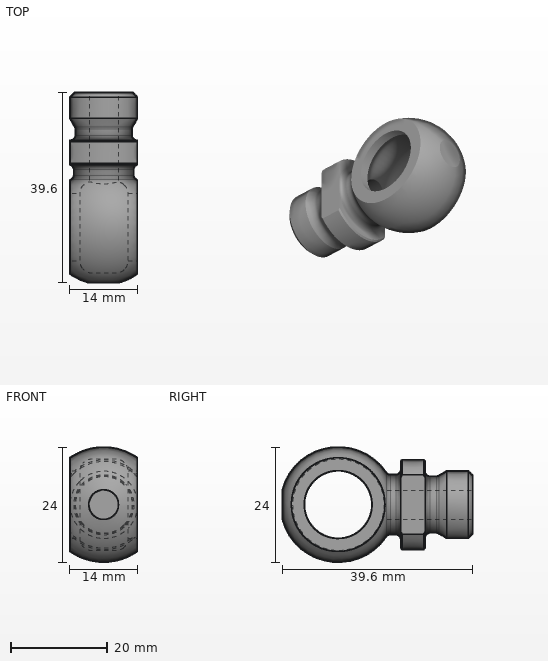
import cadquery as cq
import math

width = 14.0
ball_radius = 12.0
total_length = 39.6
nose_radius = 3.1

stem_radius = width / 2
stem_chamfer = 1.0
stem_straight_start = 22.57
stem_neck_radius = 11.8 / 2
relief_angle = math.radians(30)

collar_radius = 9.35
collar_start = 13.0
collar_end = 18.05
collar_chamfer = 0.3
ball_neck_radius = 12.5 / 2
fillet_radius = 1.0

bore_radius = 14.0 / 2
groove_depth = 2.5
groove_width = 9.98
passage_radius = 6.0 / 2

nose_y = -math.sqrt(ball_radius**2 - nose_radius**2)
stem_end = nose_y + total_length


def arc_point(centre, radius, angle):
    """Point (radius from Y axis, Y) on a circle of the body profile."""
    return (centre[0] + radius * math.cos(angle), centre[1] + radius * math.sin(angle))


def make_body():
    """Revolve the ball, necks, collar and stem about the Y axis."""
    root_r = ball_neck_radius + fillet_radius
    root_y = math.sqrt((ball_radius + fillet_radius) ** 2 - root_r**2)
    root_centre = (root_r, root_y)
    root_angle = math.atan2(-root_y, -root_r) + 2 * math.pi
    root_start = arc_point(root_centre, fillet_radius, root_angle)
    root_middle = arc_point(root_centre, fillet_radius, (root_angle + math.pi) / 2)

    front_centre = (root_r, collar_start - fillet_radius)
    back_centre = (stem_neck_radius + fillet_radius, collar_end + fillet_radius)
    front_middle = arc_point(front_centre, fillet_radius, math.radians(135))
    back_middle = arc_point(back_centre, fillet_radius, math.radians(225))

    cone_r = stem_neck_radius + fillet_radius * (1 - math.cos(relief_angle))
    cone_y = stem_straight_start - (stem_radius - cone_r) / math.tan(relief_angle)
    relief_centre = (stem_neck_radius + fillet_radius, cone_y - fillet_radius * math.sin(relief_angle))
    relief_middle = arc_point(relief_centre, fillet_radius, math.pi - relief_angle / 2)

    profile = (
        cq.Workplane("XY")
        .moveTo(0, nose_y)
        .lineTo(nose_radius, nose_y)
        .threePointArc((ball_radius, 0), root_start)
        .threePointArc(root_middle, (ball_neck_radius, root_y))
        .lineTo(ball_neck_radius, front_centre[1])
        .threePointArc(front_middle, (front_centre[0], collar_start))
        .lineTo(collar_radius - collar_chamfer, collar_start)
        .lineTo(collar_radius, collar_start + collar_chamfer)
        .lineTo(collar_radius, collar_end - collar_chamfer)
        .lineTo(collar_radius - collar_chamfer, collar_end)
        .lineTo(back_centre[0], collar_end)
        .threePointArc(back_middle, (stem_neck_radius, back_centre[1]))
        .lineTo(stem_neck_radius, relief_centre[1])
        .threePointArc(relief_middle, (cone_r, cone_y))
        .lineTo(stem_radius, stem_straight_start)
        .lineTo(stem_radius, stem_end - stem_chamfer)
        .lineTo(stem_radius - stem_chamfer, stem_end)
        .lineTo(0, stem_end)
        .close()
    )
    return profile.revolve(360, (0, 0, 0), (0, 1, 0))


def make_bore():
    """Bore along X through the centre of the ball."""
    return cq.Workplane("YZ").circle(bore_radius).extrude(width / 2, both=True)


def make_groove():
    """Wide ring groove inside the bore, with fully rounded floor corners."""
    return (
        cq.Workplane("YZ")
        .circle(bore_radius + groove_depth)
        .extrude(groove_width / 2, both=True)
        .edges("%CIRCLE")
        .fillet(groove_depth)
    )


def make_passage():
    """Passage from the bore out through the end of the stem."""
    return cq.Workplane("XZ").circle(passage_radius).extrude(-stem_end)


slab = cq.Workplane("XY").box(width, 2 * total_length, total_length)

result = (
    make_body()
    .intersect(slab)
    .cut(make_bore())
    .cut(make_groove())
    .cut(make_passage())
)